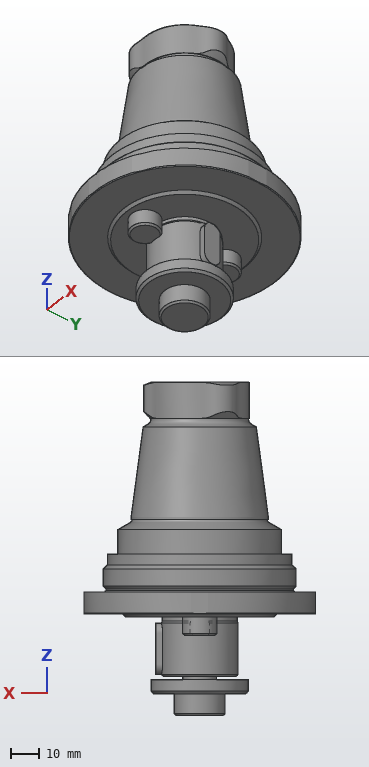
import cadquery as cq
import math

total_height = 117.5
foot_top = 7.6
disc_top = 12.7
shaft_bottom = 13.7
shaft_top = 32.5
flange_bottom = 35.7
flange_top = 43.6
pad_bottom = 34.7
collar_bottom = 45.6
collar_top = 51.7
step_bottom = 53.1
step_top = 56.9
shoulder_top = 65.5
taper_bottom = 69.9
taper_top = 101.6
head_bottom = 104.7

foot_radius = 18.0 / 2
stem_radius = 12.0 / 2
disc_radius = 17.2
shaft_radius = 27.0 / 2
shaft_neck_radius = 26.5 / 2
pad_radius = 27.1
flange_radius = 41.0
flange_groove_radius = 66.2 / 2
collar_radius = 68.0 / 2
step_radius = 65.0 / 2
shoulder_radius = 28.9
taper_bottom_radius = 24.2
taper_top_radius = 20.0
taper_relief_radius = 23.9
head_neck_radius = 17.3

small_chamfer = 0.7
disc_chamfer = 0.9
flange_chamfer = 0.4
pad_chamfer = flange_bottom - pad_bottom
groove_flare = 0.5
taper_land = 0.9
slope_angle = 30.0
shoulder_fillet_radius = 1.2
neck_fillet_radius = 1.9

narrow_flat_half_angle = 4.2
wide_flat_half_angle = 5.7
rim_flats = [
    (0, wide_flat_half_angle),
    (180, wide_flat_half_angle),
    (90, narrow_flat_half_angle),
    (-90, narrow_flat_half_angle),
    (-60, wide_flat_half_angle),
    (-120, wide_flat_half_angle),
]

pin_radius = 12.0 / 2
pin_offset = 18.0
pin_bottom = 28.2
pin_chamfer = 0.7

key_width = 7.0
key_bottom = 14.5
key_outer_x = 15.5

lobe_count = 3
head_radius = 17.5
lobe_tip_radius = 6.8
lobe_center = 12.9
lobe_flank_radius = 17.0
head_top_radius = 34.0 / 2
head_top_drop = 1.2
head_bottom_rise = 2.4


def root_fillet(wall_radius, fillet_radius, slope_foot_radius, slope_foot_z):
    """Start, middle and end of the hollow arc joining a conical slope to the wall above it."""
    slope = math.radians(slope_angle)
    center_r = wall_radius + fillet_radius
    end_r = center_r - fillet_radius * math.sin(slope)
    end_z = slope_foot_z + (slope_foot_radius - end_r) * math.tan(slope)
    center_z = end_z + fillet_radius * math.cos(slope)
    middle = (math.pi / 2 - slope) / 2
    middle_r = center_r - fillet_radius * math.cos(middle)
    middle_z = center_z - fillet_radius * math.sin(middle)
    return (end_r, end_z), (middle_r, middle_z), (wall_radius, center_z)


def turned_body():
    """Revolve everything that is round about Z, up to the underside of the head."""
    shoulder_fillet = root_fillet(
        taper_relief_radius, shoulder_fillet_radius, shoulder_radius, shoulder_top
    )
    neck_fillet = root_fillet(head_neck_radius, neck_fillet_radius, taper_top_radius, taper_top)
    profile = (
        cq.Workplane("XZ")
        .moveTo(0, 0)
        .lineTo(foot_radius - small_chamfer, 0)
        .lineTo(foot_radius, small_chamfer)
        .lineTo(foot_radius, foot_top)
        .lineTo(disc_radius - disc_chamfer, foot_top)
        .lineTo(disc_radius, foot_top + disc_chamfer)
        .lineTo(disc_radius, disc_top)
        .lineTo(stem_radius, disc_top)
        .lineTo(stem_radius, shaft_bottom)
        .lineTo(shaft_radius - small_chamfer, shaft_bottom)
        .lineTo(shaft_radius, shaft_bottom + small_chamfer)
        .lineTo(shaft_radius, shaft_top)
        .lineTo(shaft_neck_radius, shaft_top + small_chamfer)
        .lineTo(shaft_neck_radius, pad_bottom)
        .lineTo(pad_radius - pad_chamfer, pad_bottom)
        .lineTo(pad_radius, flange_bottom)
        .lineTo(flange_radius - flange_chamfer, flange_bottom)
        .lineTo(flange_radius, flange_bottom + flange_chamfer)
        .lineTo(flange_radius, flange_top)
        .lineTo(flange_groove_radius + groove_flare, flange_top)
        .lineTo(flange_groove_radius, flange_top + groove_flare)
        .lineTo(flange_groove_radius, collar_bottom - (collar_radius - flange_groove_radius))
        .lineTo(collar_radius, collar_bottom)
        .lineTo(collar_radius, collar_top)
        .lineTo(step_radius, step_bottom)
        .lineTo(step_radius, step_top)
        .lineTo(shoulder_radius, step_top)
        .lineTo(shoulder_radius, shoulder_top)
        .lineTo(*shoulder_fillet[0])
        .threePointArc(*shoulder_fillet[1:])
        .lineTo(taper_relief_radius, taper_bottom - taper_land)
        .lineTo(taper_bottom_radius, taper_bottom - taper_land)
        .lineTo(taper_bottom_radius, taper_bottom)
        .lineTo(taper_top_radius, taper_top)
        .lineTo(*neck_fillet[0])
        .threePointArc(*neck_fillet[1:])
        .lineTo(head_neck_radius, head_bottom)
        .lineTo(0, head_bottom)
        .close()
    )
    return profile.revolve(360, (0, 0, 0), (0, 1, 0))


def rim_flat_cutter(direction, half_angle):
    """Block that shaves the flange rim flat in the given direction."""
    flat_distance = flange_radius * math.cos(math.radians(half_angle))
    return (
        cq.Workplane("XY", origin=(0, 0, flange_bottom))
        .center(flat_distance + flange_radius / 2, 0)
        .rect(flange_radius, flange_radius)
        .extrude(flange_top - flange_bottom)
        .rotate((0, 0, 0), (0, 0, 1), direction)
    )


def drive_pin(y):
    """Pin hanging from the flange, chamfered at its lower end."""
    return (
        cq.Workplane("XY", origin=(0, y, pin_bottom))
        .circle(pin_radius)
        .extrude(flange_bottom - pin_bottom)
        .faces("<Z")
        .chamfer(pin_chamfer)
    )


def shaft_key():
    """Round-ended key standing out of the shaft."""
    return (
        cq.Workplane("YZ")
        .center(0, (key_bottom + shaft_top) / 2)
        .slot2D(shaft_top - key_bottom, key_width, 90)
        .extrude(key_outer_x)
    )


def polar(radius, degrees):
    angle = math.radians(degrees)
    return (radius * math.cos(angle), radius * math.sin(angle))


def lobed_outline():
    """Base circle with lobes, each joined by hollow flanks tangent to the base and the tip."""
    flank_offset = head_radius + lobe_flank_radius
    tip_offset = lobe_tip_radius + lobe_flank_radius
    flank_x = (flank_offset**2 + lobe_center**2 - tip_offset**2) / (2 * lobe_center)
    flank_y = math.sqrt(flank_offset**2 - flank_x**2)
    flank_angle = math.degrees(math.acos(flank_x / flank_offset))

    tip_share = lobe_tip_radius / tip_offset
    tip_end_x = lobe_center + (flank_x - lobe_center) * tip_share
    tip_end_y = flank_y * tip_share
    tip_end_radius = math.hypot(tip_end_x, tip_end_y)
    tip_end_angle = math.degrees(math.atan2(tip_end_y, tip_end_x))

    toward_axis = math.atan2(-flank_y, -flank_x)
    toward_tip = math.atan2(-flank_y, lobe_center - flank_x)
    toward_middle = (toward_axis + toward_tip) / 2
    flank_middle_x = flank_x + lobe_flank_radius * math.cos(toward_middle)
    flank_middle_y = flank_y + lobe_flank_radius * math.sin(toward_middle)
    flank_middle_radius = math.hypot(flank_middle_x, flank_middle_y)
    flank_middle_angle = math.degrees(math.atan2(flank_middle_y, flank_middle_x))

    pitch = 360 / lobe_count
    outline = cq.Workplane("XY", origin=(0, 0, head_bottom)).moveTo(*polar(head_radius, -flank_angle))
    for index in range(lobe_count):
        lobe = index * pitch
        outline = (
            outline
            .threePointArc(
                polar(flank_middle_radius, lobe - flank_middle_angle),
                polar(tip_end_radius, lobe - tip_end_angle),
            )
            .threePointArc(
                polar(lobe_center + lobe_tip_radius, lobe),
                polar(tip_end_radius, lobe + tip_end_angle),
            )
            .threePointArc(
                polar(flank_middle_radius, lobe + flank_middle_angle),
                polar(head_radius, lobe + flank_angle),
            )
            .threePointArc(
                polar(head_radius, lobe + pitch / 2),
                polar(head_radius, lobe + pitch - flank_angle),
            )
        )
    return outline.close()


def lobed_head():
    """Lobed prism trimmed by a cone above and a cone below."""
    lobe_reach = lobe_center + lobe_tip_radius
    envelope = (
        cq.Workplane("XZ")
        .moveTo(0, head_bottom)
        .lineTo(head_radius, head_bottom)
        .lineTo(lobe_reach, head_bottom + head_bottom_rise)
        .lineTo(lobe_reach, total_height - head_top_drop)
        .lineTo(head_top_radius, total_height)
        .lineTo(0, total_height)
        .close()
        .revolve(360, (0, 0, 0), (0, 1, 0))
    )
    return lobed_outline().extrude(total_height - head_bottom).intersect(envelope)


result = turned_body()
for flat_direction, flat_half_angle in rim_flats:
    result = result.cut(rim_flat_cutter(flat_direction, flat_half_angle))
for pin_y in (-pin_offset, pin_offset):
    result = result.union(drive_pin(pin_y))
result = result.union(shaft_key()).union(lobed_head())